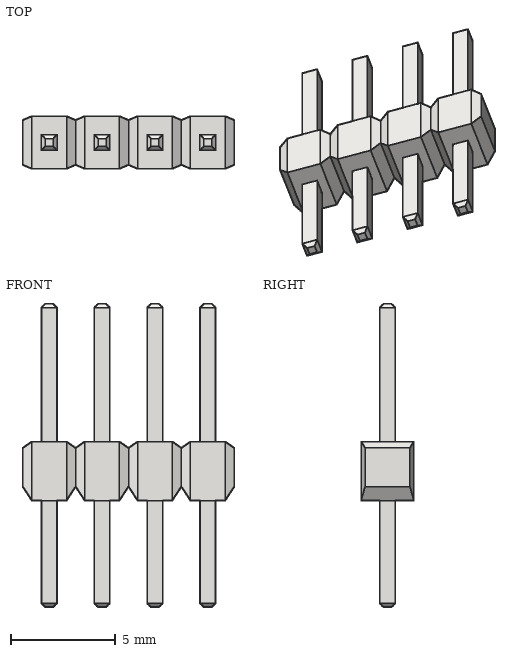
import cadquery as cq

cell_count = 4
row_length = 10.16
pitch = row_length / cell_count

total_height = 14.58
lower_pin_length = 5.12
housing_height = 2.85
housing_bottom = lower_pin_length
housing_top = housing_bottom + housing_height
upper_pin_length = total_height - housing_top

housing_depth = 2.54
taper_length = 0.44
side_inset = 0.19
top_inset = 0.3
bottom_inset = 0.67

pin_width = 0.76
tip_bevel = 0.19

cell_centres = [(i + 0.5) * pitch - row_length / 2 for i in range(cell_count)]


def housing_cell(x_centre):
    """One cell: a block whose two X ends taper in both depth and height."""
    end_x = pitch / 2
    flat_x = end_x - taper_length
    half_depth = housing_depth / 2
    end_y = half_depth - side_inset
    end_top = housing_top - top_inset
    end_bottom = housing_bottom + bottom_inset

    elevation = (
        cq.Workplane("XZ")
        .polyline([
            (-end_x, end_bottom), (-flat_x, housing_bottom), (flat_x, housing_bottom), (end_x, end_bottom),
            (end_x, end_top), (flat_x, housing_top), (-flat_x, housing_top), (-end_x, end_top),
        ])
        .close()
        .extrude(half_depth, both=True)
    )
    plan = (
        cq.Workplane("XY", origin=(0, 0, housing_bottom))
        .polyline([
            (-end_x, -end_y), (-flat_x, -half_depth), (flat_x, -half_depth), (end_x, -end_y),
            (end_x, end_y), (flat_x, half_depth), (-flat_x, half_depth), (-end_x, end_y),
        ])
        .close()
        .extrude(housing_height)
    )
    return elevation.intersect(plan).translate((x_centre, 0, 0))


def make_housing():
    """All cells joined end to end into one strip."""
    strip = housing_cell(cell_centres[0])
    for x_centre in cell_centres[1:]:
        strip = strip.union(housing_cell(x_centre))
    return strip


def make_pin(x_centre, base_z, length, tip_face):
    """Square pin with its lower end at base_z and a bevel around the end picked by tip_face."""
    return (
        cq.Workplane("XY", origin=(x_centre, 0, base_z))
        .rect(pin_width, pin_width)
        .extrude(length)
        .faces(tip_face)
        .chamfer(tip_bevel)
    )


housing = make_housing()

upper_pins = [make_pin(x, housing_top, upper_pin_length, ">Z") for x in cell_centres]
lower_pins = [make_pin(x, 0, lower_pin_length, "<Z") for x in cell_centres]

pins = [pin.solids().val() for pin in upper_pins + lower_pins]
result = cq.Compound.makeCompound([housing.solids().val(), *pins])